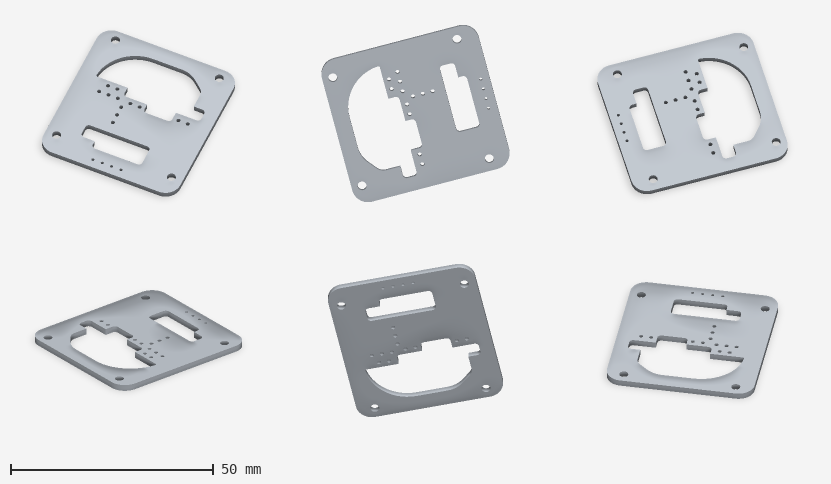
import cadquery as cq

PLATE_WIDTH = 37.0
PLATE_LENGTH = 40.0
PLATE_THICKNESS = 1.6
PLATE_CORNER_RADIUS = 4.0

MOUNT_DIAMETER = 2.2
UPPER_MOUNT_X = 14.05
UPPER_MOUNT_Y = 17.35
LOWER_MOUNT_X = 15.5
LOWER_MOUNT_Y = -14.7

PIN_PITCH = 2.5
PIN_DIAMETER = 1.0
SMALL_PIN_DIAMETER = 0.75
PIN_ROW_Y = 1.6
LEDGE_PINS_START = (-10.1, 4.1)
LEFT_PINS_START = (-11.35, PIN_ROW_Y)
MIDDLE_PINS_START = (-2.85, 1.4)
RIGHT_PINS_START = (10.1, PIN_ROW_Y)
PIN_COLUMN_START = (-4.45, -0.5)
SMALL_PINS_START = (-4.3, -17.8)

DOME_RADIUS = 10.8
DOME_CENTER_X = -3.2
UPPER_TOP = 15.95
DOME_CENTER_Y = UPPER_TOP - DOME_RADIUS
LEDGE_Y = 5.5
LEDGE_END_X = -5.45
MIDDLE_STEP_Y = 2.85
WELL_LEFT = 1.05
WELL_RIGHT = 8.55
WELL_BOTTOM = 0.4
TAB_BOTTOM = 3.5
TAB_TOP = 7.0
TAB_RIGHT = 15.05
SHOULDER_X = 11.8
SLOPE_END_Y = 11.9
SLOPE_START_X = 6.95
SLOPE_START_RADIUS = 6.5
SLOPE_END_RADIUS = 2.6
DOME_FOOT_RADIUS = 0.4

LOWER_LEFT = -10.1
LOWER_RIGHT = 7.2
LOWER_TOP = -8.7
LOWER_BOTTOM = -14.6
NOTCH_X = -6.2
NOTCH_Y = -12.55

WINDOW_RADIUS = 0.95


def round_corners(body, corners, radius):
    """Round the vertical edges of a body that stand at the given XY corners."""
    for x, y in corners:
        selector = cq.selectors.NearestToPointSelector((x, y, PLATE_THICKNESS / 2))
        body = body.edges("|Z").edges(selector).fillet(radius)
    return body


def make_plate():
    plate = cq.Workplane("XY").box(
        PLATE_WIDTH, PLATE_LENGTH, PLATE_THICKNESS, centered=(True, True, False)
    )
    return plate.edges("|Z").fillet(PLATE_CORNER_RADIUS)


def make_upper_window():
    ledge_rise = LEDGE_Y - DOME_CENTER_Y
    dome_foot = (DOME_CENTER_X - (DOME_RADIUS**2 - ledge_rise**2) ** 0.5, LEDGE_Y)
    diagonal = DOME_RADIUS * 0.5**0.5
    dome_middle = (DOME_CENTER_X - diagonal, DOME_CENTER_Y + diagonal)
    middle_corner = (LEDGE_END_X, MIDDLE_STEP_Y)
    well_corners = [(WELL_LEFT, WELL_BOTTOM), (WELL_RIGHT, WELL_BOTTOM)]
    tab_corners = [(TAB_RIGHT, TAB_BOTTOM), (TAB_RIGHT, TAB_TOP)]
    slope_end = (SHOULDER_X, SLOPE_END_Y)
    slope_start = (SLOPE_START_X, UPPER_TOP)

    window = (
        cq.Workplane("XY")
        .moveTo(*dome_foot)
        .lineTo(LEDGE_END_X, LEDGE_Y)
        .lineTo(*middle_corner)
        .lineTo(WELL_LEFT, MIDDLE_STEP_Y)
        .lineTo(*well_corners[0])
        .lineTo(*well_corners[1])
        .lineTo(WELL_RIGHT, TAB_BOTTOM)
        .lineTo(*tab_corners[0])
        .lineTo(*tab_corners[1])
        .lineTo(SHOULDER_X, TAB_TOP)
        .lineTo(*slope_end)
        .lineTo(*slope_start)
        .lineTo(DOME_CENTER_X, UPPER_TOP)
        .threePointArc(dome_middle, dome_foot)
        .close()
        .extrude(PLATE_THICKNESS)
    )
    window = round_corners(window, [middle_corner] + well_corners + tab_corners, WINDOW_RADIUS)
    window = round_corners(window, [slope_start], SLOPE_START_RADIUS)
    window = round_corners(window, [slope_end], SLOPE_END_RADIUS)
    return round_corners(window, [dome_foot], DOME_FOOT_RADIUS)


def make_lower_window():
    outer_corners = [
        (LOWER_LEFT, NOTCH_Y),
        (LOWER_LEFT, LOWER_TOP),
        (LOWER_RIGHT, LOWER_TOP),
        (LOWER_RIGHT, LOWER_BOTTOM),
        (NOTCH_X, LOWER_BOTTOM),
    ]
    outline = outer_corners + [(NOTCH_X, NOTCH_Y)]
    window = cq.Workplane("XY").polyline(outline).close().extrude(PLATE_THICKNESS)
    return round_corners(window, outer_corners, WINDOW_RADIUS)


def make_pins(centers, diameter):
    return cq.Workplane("XY").pushPoints(centers).circle(diameter / 2).extrude(PLATE_THICKNESS)


def row_right(start, count):
    """Centres of a pin row that runs towards +X from its first pin."""
    x, y = start
    return [(x + i * PIN_PITCH, y) for i in range(count)]


def column_down(start, count):
    """Centres of a pin column that runs towards -Y from its first pin."""
    x, y = start
    return [(x, y - i * PIN_PITCH) for i in range(count)]


mount_centers = [
    (side * x, y)
    for side in (-1, 1)
    for x, y in ((UPPER_MOUNT_X, UPPER_MOUNT_Y), (LOWER_MOUNT_X, LOWER_MOUNT_Y))
]

pin_centers = (
    row_right(LEDGE_PINS_START, 2)
    + row_right(LEFT_PINS_START, 3)
    + row_right(MIDDLE_PINS_START, 2)
    + row_right(RIGHT_PINS_START, 2)
    + column_down(PIN_COLUMN_START, 3)
)
small_pin_centers = row_right(SMALL_PINS_START, 4)

result = (
    make_plate()
    .cut(make_upper_window())
    .cut(make_lower_window())
    .cut(make_pins(mount_centers, MOUNT_DIAMETER))
    .cut(make_pins(pin_centers, PIN_DIAMETER))
    .cut(make_pins(small_pin_centers, SMALL_PIN_DIAMETER))
)